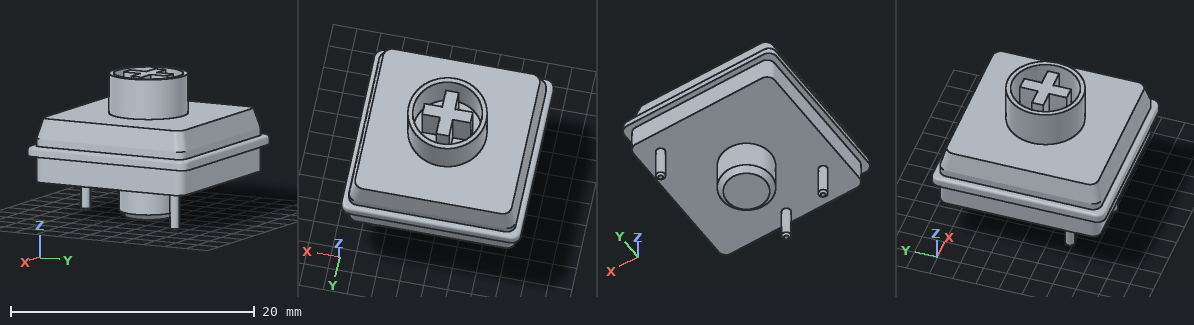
import cadquery as cq

flange_width = 15.0
body_width = 13.95
cover_top_width = 13.1
corner_radius = 0.75
flange_bottom = 2.2
flange_thickness = 0.8
flange_rounding = 0.25
taper_start = 3.63
cover_top = 5.3
flange_top = flange_bottom + flange_thickness

stem_height = 3.3
collar_diameter = 6.5
collar_bore = 5.7
cross_length = 4.05
cross_arm_width_x = 1.08
cross_arm_width_y = 0.99

leg_length = 3.3
post_diameter = 4.8
post_chamfer = 0.5
pin_diameter = 0.8
pin_chamfer = 0.2
pin_positions = [(-5.01, -3.81), (0, -5.85), (5.01, 5.16)]


def rounded_square(width):
    return cq.Sketch().rect(width, width).vertices().fillet(corner_radius)


def square_block(width, bottom, top):
    block = cq.Workplane("XY").workplane(offset=bottom)
    return block.placeSketch(rounded_square(width)).extrude(top - bottom)


def leg(diameter, chamfer):
    """Round leg hanging from Z = 0 with a chamfered tip."""
    return cq.Workplane("XY").circle(diameter / 2).extrude(-leg_length).faces("<Z").chamfer(chamfer)


def make_base():
    """Lower housing with its flange."""
    flange = square_block(flange_width, flange_bottom, flange_top)
    flange = flange.faces(">Z").edges().fillet(flange_rounding)
    return square_block(body_width, 0, flange_bottom).union(flange)


def make_post():
    """Locating post under the middle of the housing."""
    return leg(post_diameter, post_chamfer)


def make_cover():
    """Upper housing: straight walls, then a taper up to the flat top."""
    walls = square_block(body_width, flange_top, taper_start)
    taper = (
        cq.Workplane("XY")
        .workplane(offset=taper_start)
        .placeSketch(
            rounded_square(body_width),
            rounded_square(cover_top_width).moved(cq.Location(cq.Vector(0, 0, cover_top - taper_start))),
        )
        .loft()
    )
    return walls.union(taper)


def make_collar():
    """Open tube standing on the cover."""
    tube = cq.Workplane("XY").workplane(offset=cover_top)
    return tube.circle(collar_diameter / 2).circle(collar_bore / 2).extrude(stem_height)


def make_cross():
    """Cross standing on the cover inside the collar, level with its rim."""
    start = cq.Workplane("XY").workplane(offset=cover_top)
    arm_along_x = start.rect(cross_length, cross_arm_width_y).extrude(stem_height)
    arm_along_y = start.rect(cross_arm_width_x, cross_length).extrude(stem_height)
    return arm_along_x.union(arm_along_y)


def make_pin(x, y):
    """Contact pin hanging from the housing underside."""
    return leg(pin_diameter, pin_chamfer).translate((x, y, 0))


base = make_base().union(make_post())
cover = make_cover()
collar = make_collar()
cross = make_cross()
pins = [make_pin(x, y).val() for x, y in pin_positions]

result = cq.Compound.makeCompound([base.val(), cover.val(), collar.val(), cross.val(), *pins])